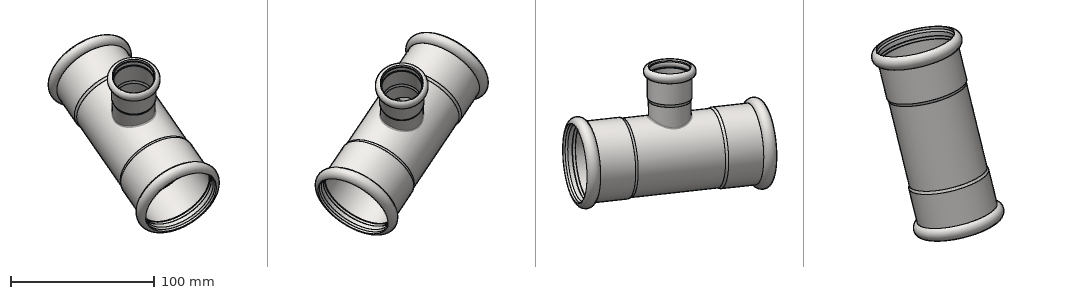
import cadquery as cq
import math

run_length = 139.0
branch_top = 64.5
junction_fillet = 0.7

run_tube_radius = 56.0 / 2
run_bore_radius = 53.0 / 2
run_socket_radius = 57.5 / 2
run_socket_bore_radius = 54.5 / 2
run_bead_radius = 5.0
run_bead_outer_radius = 64.8 / 2
run_mouth_radius = 56.0 / 2
run_seal_radius = 54.8 / 2
run_socket_depth = 35.5
run_step_length = 2.1
run_lip_depth = 1.8
run_seal_start = 3.5
run_seal_end = 6.7
run_groove_start = 7.2
run_groove_end = 9.2

branch_tube_radius = 30.0 / 2
branch_bore_radius = 27.0 / 2
branch_socket_radius = 31.4 / 2
branch_socket_bore_radius = 28.4 / 2
branch_bead_radius = 3.6
branch_bead_outer_radius = 18.5
branch_mouth_radius = 15.0
branch_lip_radius = 28.8 / 2
branch_seal_radius = 27.7 / 2
branch_socket_depth = 23.0
branch_step_length = 2.1
branch_lip_depth = 1.1
branch_seal_start = 2.1
branch_seal_end = 5.7
branch_groove_end = 6.5


def socket_outside(length, bead_radius, bead_outer, mouth, socket, tube, depth, step):
    """Solid of revolution about Z: beaded mouth at Z = 0, socket, then tube up to Z = length."""
    bead_center = bead_outer - bead_radius
    bead_depth = math.sqrt(bead_radius**2 - (mouth - bead_center) ** 2)
    bead_end = bead_depth + math.sqrt(bead_radius**2 - (socket - bead_center) ** 2)
    return (
        cq.Workplane("XZ")
        .lineTo(mouth, 0)
        .threePointArc((bead_outer, bead_depth), (socket, bead_end))
        .lineTo(socket, depth)
        .lineTo(tube, depth + step)
        .lineTo(tube, length)
        .lineTo(0, length)
        .close()
        .revolve(360, (0, 0, 0), (0, 1, 0))
    )


def run_half_bore():
    """Void of one run end about Z: mouth, seal land, socket and tube bore."""
    return (
        cq.Workplane("XZ")
        .lineTo(run_mouth_radius, 0)
        .lineTo(run_mouth_radius, run_lip_depth)
        .lineTo(run_seal_radius, run_seal_start)
        .lineTo(run_seal_radius, run_seal_end)
        .lineTo(run_mouth_radius, run_groove_start)
        .lineTo(run_mouth_radius, run_groove_end)
        .lineTo(run_socket_bore_radius, run_groove_end)
        .lineTo(run_socket_bore_radius, run_socket_depth)
        .lineTo(run_bore_radius, run_socket_depth + run_step_length)
        .lineTo(run_bore_radius, run_length / 2)
        .lineTo(0, run_length / 2)
        .close()
        .revolve(360, (0, 0, 0), (0, 1, 0))
    )


def branch_bore():
    """Void of the branch about Z: mouth, rounded seal ring, socket and tube bore."""
    seal_middle = (branch_seal_start + branch_seal_end) / 2
    return (
        cq.Workplane("XZ")
        .lineTo(branch_mouth_radius, 0)
        .lineTo(branch_lip_radius, branch_lip_depth)
        .lineTo(branch_lip_radius, branch_seal_start)
        .threePointArc((branch_seal_radius, seal_middle), (branch_lip_radius, branch_seal_end))
        .lineTo(branch_lip_radius, branch_groove_end)
        .lineTo(branch_socket_bore_radius, branch_groove_end)
        .lineTo(branch_socket_bore_radius, branch_socket_depth)
        .lineTo(branch_bore_radius, branch_socket_depth + branch_step_length)
        .lineTo(branch_bore_radius, branch_top)
        .lineTo(0, branch_top)
        .close()
        .revolve(360, (0, 0, 0), (0, 1, 0))
    )


def place_on_run(half):
    """Lay a half body along X and mirror it to form both ends of the run."""
    left = half.rotate((0, 0, 0), (0, 1, 0), 90).translate((-run_length / 2, 0, 0))
    return left.union(left.mirror("YZ"))


def place_on_branch(body):
    """Turn a body over so that its mouth faces up at the branch top."""
    return body.rotate((0, 0, 0), (1, 0, 0), 180).translate((0, 0, branch_top))


run = place_on_run(
    socket_outside(
        run_length / 2, run_bead_radius, run_bead_outer_radius, run_mouth_radius,
        run_socket_radius, run_tube_radius, run_socket_depth, run_step_length,
    )
)
branch = place_on_branch(
    socket_outside(
        branch_top, branch_bead_radius, branch_bead_outer_radius, branch_mouth_radius,
        branch_socket_radius, branch_tube_radius, branch_socket_depth, branch_step_length,
    )
)
body = run.union(branch)

saddle_zone = cq.selectors.BoxSelector(
    (-branch_socket_radius, -branch_socket_radius, run_tube_radius / 2),
    (branch_socket_radius, branch_socket_radius, run_tube_radius + junction_fillet),
    boundingbox=True,
)
body = body.edges(saddle_zone).fillet(junction_fillet)

result = body.cut(place_on_run(run_half_bore())).cut(place_on_branch(branch_bore()))